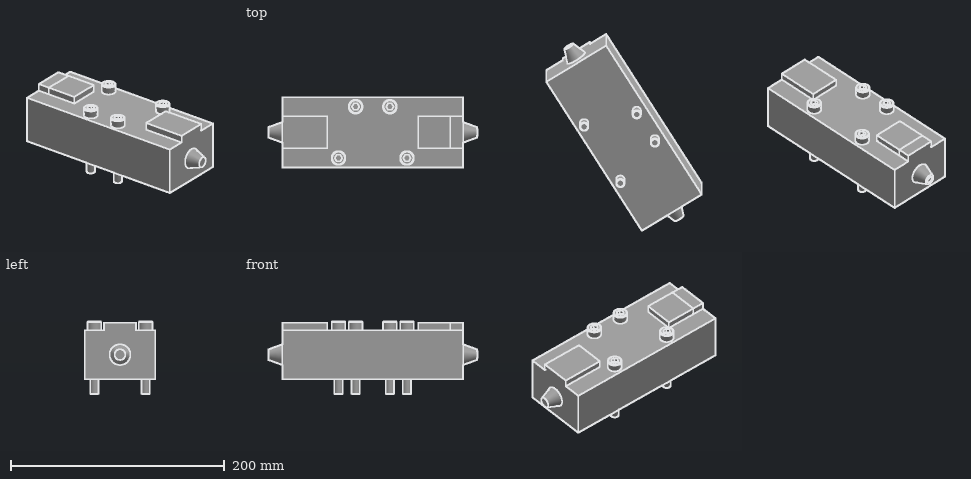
import cadquery as cq
import math

housing_length = 169.0
housing_width = 66.0
housing_height = 46.0

pad_width = 30.0
pad_height = 7.0
end_strip_length = 12.0
cover_length = 30.0
pad_length = end_strip_length + cover_length

boss_tip_diameter = 10.0
boss_length = 13.0
boss_taper_angle = 20.0
boss_base_diameter = boss_tip_diameter + 2 * boss_length * math.tan(math.radians(boss_taper_angle))
boss_axis_height = housing_height / 2
button_diameter = 6.0
button_height = 0.5

thread_diameter = 8.0
head_diameter = 13.0
head_height = 8.0
head_chamfer = 0.65
thread_projection = 14.0
thread_chamfer = 0.65
socket_sides = 6
socket_across_flats = 6.0
socket_depth = 4.0
socket_turn = 90.0
screw_row_offset = 24.0
front_screw_offset = 32.0
back_screw_offset = 16.0
screw_places = [
    (-front_screw_offset, -screw_row_offset),
    (front_screw_offset, -screw_row_offset),
    (-back_screw_offset, screw_row_offset),
    (back_screw_offset, screw_row_offset),
]


def top_pad(x_start, length):
    """Rectangular pad on the housing's top face, running in +X from x_start."""
    return (
        cq.Workplane("XY", origin=(x_start, 0, housing_height))
        .box(length, pad_width, pad_height, centered=(False, True, False))
    )


def tapered_boss(side):
    """Cone frustum on the end face at side * X, narrowing outwards."""
    base = cq.Vector(side * housing_length / 2, 0, boss_axis_height)
    outwards = cq.Vector(side, 0, 0)
    return cq.Workplane(
        cq.Solid.makeCone(boss_base_diameter / 2, boss_tip_diameter / 2, boss_length, base, outwards)
    )


def tip_button():
    """Low round button on the tip of the +X boss."""
    tip_x = housing_length / 2 + boss_length
    return (
        cq.Workplane("YZ", origin=(tip_x, 0, boss_axis_height))
        .circle(button_diameter / 2)
        .extrude(button_height)
    )


def screw_head(x, y):
    """Chamfered cylindrical head standing on the housing's top face."""
    return (
        cq.Workplane("XY", origin=(x, y, housing_height))
        .circle(head_diameter / 2)
        .extrude(head_height)
        .faces(">Z")
        .chamfer(head_chamfer)
    )


def screw_socket(x, y):
    """Hexagonal recess in the top of a screw head, with two corners along Y."""
    return (
        cq.Workplane("XY", origin=(x, y, housing_height + head_height))
        .transformed(rotate=(0, 0, socket_turn))
        .polygon(socket_sides, socket_across_flats, circumscribed=True)
        .extrude(-socket_depth)
    )


def thread_end(x, y):
    """Chamfered end of a screw below the housing."""
    return (
        cq.Workplane("XY", origin=(x, y, 0))
        .circle(thread_diameter / 2)
        .extrude(-thread_projection)
        .faces("<Z")
        .chamfer(thread_chamfer)
    )


def make_housing():
    """Block with its end pads, bosses and screws, all in one piece."""
    body = cq.Workplane("XY").box(
        housing_length, housing_width, housing_height, centered=(True, True, False)
    )
    body = body.union(top_pad(-housing_length / 2, pad_length))
    body = body.union(top_pad(housing_length / 2 - end_strip_length, end_strip_length))
    for side in (-1, 1):
        body = body.union(tapered_boss(side))
    body = body.union(tip_button())
    for x, y in screw_places:
        body = body.union(screw_head(x, y)).cut(screw_socket(x, y)).union(thread_end(x, y))
    return body


def make_cover():
    """Square cover plate on the top face, against the end strip at the +X end."""
    return top_pad(housing_length / 2 - pad_length, cover_length)


housing = make_housing()
cover = make_cover()

result = cq.Compound.makeCompound([housing.val(), cover.val()])